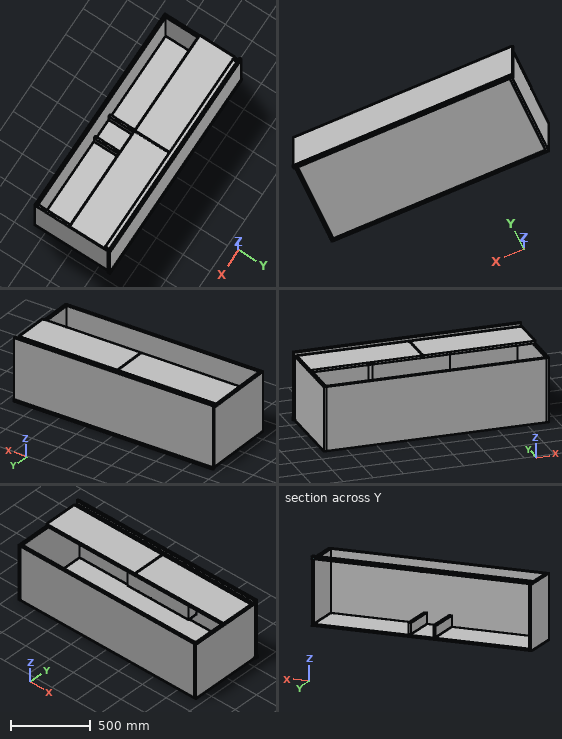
import cadquery as cq
cabinet_width = 1490.0
cabinet_depth = 551.0
cabinet_height = 433.0
board = 17.0

door_width = 1510.0
door_height = 460.0
door_thickness = 15.0
door_edge_bevel = 3.0
lip_depth = 3.0
lip_height = 14.0

lid_front = 260.0
lid_depth = 261.0
lid_thickness = 17.0
lid_gap = 3.0
lid_grip_bevel = 12.0

rib_spacing = 169.0
rib_height = 90.0
rib_end = cabinet_depth / 2

box_width = 513.0
box_depth = 77.0
box_bottom = 90.0

half_width = cabinet_width / 2
inner_half_width = half_width - board
door_back = cabinet_depth + door_thickness
sides = (-1, 1)


def block(x_range, y_range, z_range):
    """Box spanning the given (low, high) ranges along X, Y and Z."""
    size = [high - low for low, high in (x_range, y_range, z_range)]
    corner = (x_range[0], y_range[0], z_range[0])
    return cq.Workplane("XY").box(*size, centered=False).translate(corner)


def centred(width, middle=0.0):
    """Range of the given width around a middle position."""
    return (middle - width / 2, middle + width / 2)


def make_side_panel(side):
    x_range = sorted((side * inner_half_width, side * half_width))
    return block(x_range, (0, cabinet_depth), (0, cabinet_height))


def make_front_panel():
    return block(centred(2 * inner_half_width), (0, board), (0, cabinet_height))


def make_floor():
    """Floor board with two ribs running back from the front panel."""
    floor = block(centred(2 * inner_half_width), (board, cabinet_depth), (0, board))
    for side in sides:
        rib_x = centred(board, side * rib_spacing / 2)
        floor = floor.union(block(rib_x, (board, rib_end), (0, rib_height)))
    return floor


def make_back_rail():
    """Rail between the side panels, with a box hanging from its middle."""
    y_range = (cabinet_depth - box_depth, cabinet_depth)
    rail = block(centred(2 * inner_half_width), y_range, (cabinet_height - board, cabinet_height))
    box = block(centred(box_width), y_range, (box_bottom, cabinet_height))
    return rail.union(box)


def make_lid(side):
    """Lid with a finger-grip bevel under its back edge."""
    x_range = sorted((side * lid_gap / 2, side * half_width))
    y_range = (lid_front, lid_front + lid_depth)
    lid = block(x_range, y_range, (cabinet_height, cabinet_height + lid_thickness))
    return lid.faces(">Y").edges("<Z").chamfer(lid_grip_bevel)


def make_door():
    """Door panel bevelled on all edges, joined to its lip."""
    panel = block(centred(door_width), (cabinet_depth, door_back), (0, door_height))
    panel = panel.edges().chamfer(door_edge_bevel)
    lip = block(centred(door_width), (door_back, door_back + lip_depth), (0, lip_height))
    return panel.union(lip)


side_panels = [make_side_panel(side) for side in sides]
front_panel = make_front_panel()
floor_board = make_floor()
back_rail = make_back_rail()
lids = [make_lid(side) for side in sides]
door = make_door()

bodies = [*side_panels, front_panel, floor_board, back_rail, *lids, door]
result = cq.Compound.makeCompound([body.val() for body in bodies])